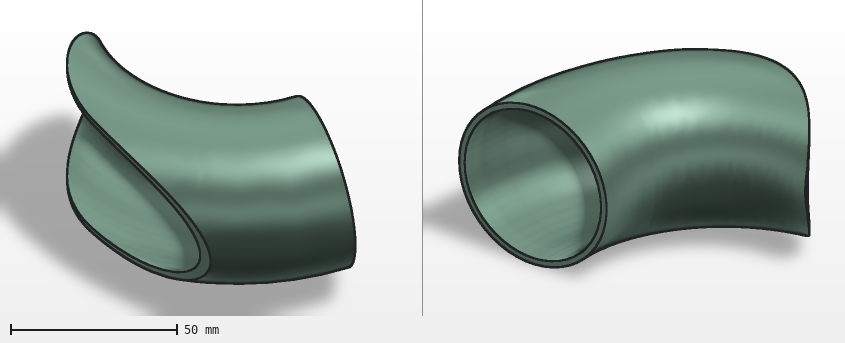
import cadquery as cq
import math

outer_reach = 97.0
pipe_diameter = 54.0
wall = 2.0
bend_angle = 90.0
pipe_radius = pipe_diameter / 2
bend_radius = outer_reach - pipe_radius

blend_x = 42.2
relief_radius = bend_radius / 2
clearance = 9.7


def quarter_torus(section_radius):
    """Solid quarter torus from the +X half-plane at y = 0 round to x = 0, y < 0."""
    return (
        cq.Workplane("XZ")
        .center(bend_radius, 0)
        .circle(section_radius)
        .revolve(bend_angle, (-bend_radius, 0, 0), (-bend_radius, -1, 0))
    )


def saddle_y(x):
    """Outline on which the elbow meets an equal pipe lying along X at y = -bend_radius."""
    return x**2 / (4 * bend_radius) - bend_radius


def saddle_cutter():
    """Prism along Z that removes everything below the saddle outline."""
    blend_point = (blend_x, saddle_y(blend_x))
    blend_slope = math.atan(blend_x / (2 * bend_radius))
    centre_x = blend_x - relief_radius * math.sin(blend_slope)
    centre_y = blend_point[1] + relief_radius * math.cos(blend_slope)
    arc_bottom = (centre_x, centre_y - relief_radius)
    arc_start = (0, centre_y - math.sqrt(relief_radius**2 - centre_x**2))

    right_x = outer_reach + clearance
    tangent_crossing = ((blend_x + right_x) / 2, blend_x * right_x / (4 * bend_radius) - bend_radius)
    parabola_end = (right_x, saddle_y(right_x))

    floor_y = -outer_reach - clearance
    depth = pipe_radius + clearance
    return (
        cq.Workplane("XY")
        .moveTo(-clearance, arc_start[1])
        .lineTo(*arc_start)
        .threePointArc(arc_bottom, blend_point)
        .bezier([tangent_crossing, parabola_end], includeCurrent=True)
        .lineTo(right_x, floor_y)
        .lineTo(-clearance, floor_y)
        .close()
        .extrude(depth, both=True)
    )


elbow = quarter_torus(pipe_radius).cut(quarter_torus(pipe_radius - wall))
result = cq.Workplane(elbow.cut(saddle_cutter()).solids().val())